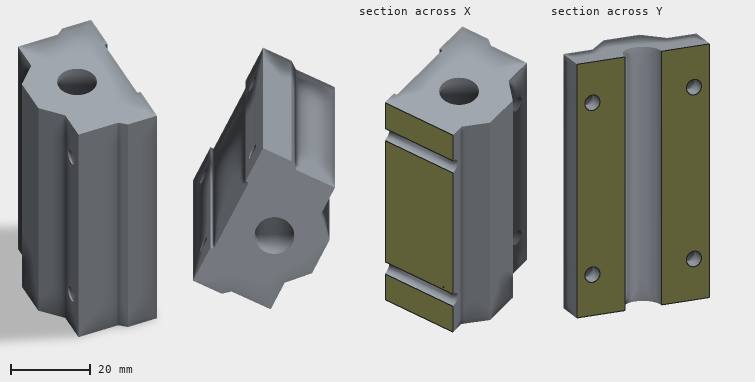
import cadquery as cq

width = 40.0
depth = 26.0
length = 68.0
back_y = depth / 2
front_y = -depth / 2

relief_width = 20.0
relief_depth = 0.9

flange_depth = 8.0
taper_depth = 2.0
body_width = 36.7

ridge_base_width = 20.7
ridge_top_width = 10.0
ridge_height = 5.0

bore_diameter = 10.0
hole_diameter = 4.0
hole_spacing_x = 28.0
hole_spacing_z = 46.0

shoulder_y = front_y + ridge_height
flange_end_y = back_y - flange_depth

half_outline = [
    (relief_width / 2, back_y - relief_depth),
    (relief_width / 2, back_y),
    (width / 2, back_y),
    (width / 2, flange_end_y),
    (body_width / 2, flange_end_y - taper_depth),
    (body_width / 2, shoulder_y),
    (ridge_base_width / 2, shoulder_y),
    (ridge_top_width / 2, front_y),
]
mirrored_half = [(-x, y) for x, y in reversed(half_outline)]

body = (
    cq.Workplane("XY")
    .polyline(half_outline + mirrored_half)
    .close()
    .extrude(length / 2, both=True)
)

bore = cq.Workplane("XY").circle(bore_diameter / 2).extrude(length / 2, both=True)

mounting_holes = (
    cq.Workplane("XZ")
    .rarray(hole_spacing_x, hole_spacing_z, 2, 2)
    .circle(hole_diameter / 2)
    .extrude(depth, both=True)
)

result = body.cut(bore).cut(mounting_holes)